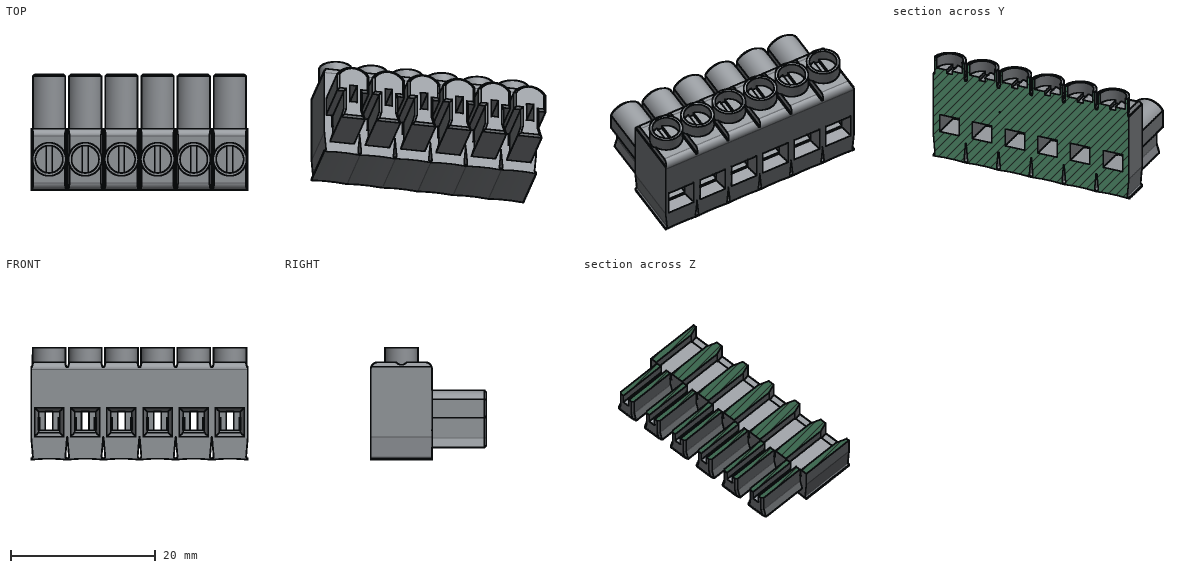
import cadquery as cq
import math

ways = 6
pitch = 5.0
length = ways * pitch
body_depth = 8.5
body_top = 13.5
total_height = 15.5
plug_length = 7.5
total_depth = body_depth + plug_length
overshoot = 1.0

top_edge_radius = 1.0
groove_depth = 0.67
groove_top_half = 0.33
groove_floor_half = 0.1
taper_top = 3.2
taper_inset = 0.24
lip_top = 0.21
lip_fillet = 0.23
foot_rise = 0.12

collar_diameter = 4.6
collar_bore = 3.8
collar_foot = body_top - 2 * groove_depth
screw_head_depth = 1.6
driver_slot_width = 0.8
driver_slot_depth = 0.5

entry_size = 4.0
entry_bottom = 3.2
entry_throat = 2.9
entry_depth = 1.55
cavity_bottom = 4.08
contact_slot_width = 1.0

sleeve_width = 4.5
sleeve_top = 9.63
sleeve_arc_start = 8.35
sleeve_step = 5.78
sleeve_neck = 3.04
sleeve_bottom = 1.66
neck_width = 2.6
tail_width = 3.4
sleeve_chamfer = 0.3

entry_middle = entry_bottom + entry_size / 2
throat_top = entry_middle + entry_throat / 2
way_centers = [(way + 0.5) * pitch for way in range(ways)]
way_boundaries = [way * pitch for way in range(ways + 1)]


def box_between(x_range, y_range, z_range):
    """Axis-aligned box given by its lower and upper limits."""
    (x0, x1), (y0, y1), (z0, z1) = x_range, y_range, z_range
    return cq.Workplane("XY").box(x1 - x0, y1 - y0, z1 - z0, centered=False).translate((x0, y0, z0))


def extrude_along_y(sketch, depth):
    """Solid from a closed XZ wire, running from its plane towards +Y."""
    return sketch.close().extrude(-depth)


def make_body():
    """Plain housing with both long top edges rounded."""
    block = box_between((0, length), (0, body_depth), (0, body_top))
    return block.edges("|X and >Z").fillet(top_edge_radius)


def top_groove(x):
    """Tapered groove in the top face, between neighbouring ways."""
    slope = (groove_top_half - groove_floor_half) / groove_depth
    mouth_half = groove_top_half + slope * overshoot
    sketch = (
        cq.Workplane("XZ")
        .moveTo(x - groove_floor_half, body_top - groove_depth)
        .lineTo(x + groove_floor_half, body_top - groove_depth)
        .lineTo(x + mouth_half, body_top + overshoot)
        .lineTo(x - mouth_half, body_top + overshoot)
    )
    return extrude_along_y(sketch, body_depth)


def side_slit(x):
    """Slit between ways, widening downwards and ending in a rounded floor above the foot lip."""
    fillet_end = taper_inset - lip_fillet
    bulge = lip_fillet * (1 - math.sqrt(0.5))
    corner_half = taper_inset - bulge
    corner_z = lip_top + bulge
    sketch = (
        cq.Workplane("XZ")
        .moveTo(x, taper_top)
        .lineTo(x + taper_inset, lip_top + lip_fillet)
        .threePointArc((x + corner_half, corner_z), (x + fillet_end, lip_top))
        .lineTo(x - fillet_end, lip_top)
        .threePointArc((x - corner_half, corner_z), (x - taper_inset, lip_top + lip_fillet))
    )
    return extrude_along_y(sketch, body_depth)


def foot_hollow(x):
    """Shallow arched hollow under one way."""
    sketch = (
        cq.Workplane("XZ")
        .moveTo(x - pitch / 2, 0)
        .threePointArc((x, foot_rise), (x + pitch / 2, 0))
    )
    return extrude_along_y(sketch, body_depth)


def plug_sleeve(x):
    """Sleeve with an arched top, stepped neck and flared tail."""
    half = sleeve_width / 2
    neck = neck_width / 2
    tail = tail_width / 2
    sketch = (
        cq.Workplane("XZ", origin=(0, body_depth, 0))
        .moveTo(x - half, sleeve_arc_start)
        .threePointArc((x, sleeve_top), (x + half, sleeve_arc_start))
        .lineTo(x + half, sleeve_step)
        .lineTo(x + neck, sleeve_step)
        .lineTo(x + neck, sleeve_neck)
        .lineTo(x + tail, sleeve_bottom)
        .lineTo(x - tail, sleeve_bottom)
        .lineTo(x - neck, sleeve_neck)
        .lineTo(x - neck, sleeve_step)
        .lineTo(x - half, sleeve_step)
    )
    return extrude_along_y(sketch, plug_length).faces(">Y").chamfer(sleeve_chamfer)


def screw_collar(x):
    """Round collar standing around the clamping screw."""
    base = cq.Workplane("XY", origin=(x, body_depth / 2, collar_foot))
    return base.circle(collar_diameter / 2).extrude(total_height - collar_foot)


def screw_recess(x):
    """Bore down to the screw head, with the driver slot across the head."""
    head_z = total_height - screw_head_depth
    head = cq.Workplane("XY", origin=(x, body_depth / 2, head_z))
    bore = head.circle(collar_bore / 2).extrude(screw_head_depth)
    slot_blank = head.rect(driver_slot_width, collar_bore).extrude(-driver_slot_depth)
    slot_limit = head.circle(collar_bore / 2).extrude(-driver_slot_depth)
    return bore.union(slot_blank.intersect(slot_limit))


def wire_entry(x):
    """Funnel, clamping cavity through the body and contact slot through the sleeve."""
    funnel = (
        cq.Workplane("XZ", origin=(x, 0, entry_middle))
        .rect(entry_size, entry_size)
        .workplane(offset=-entry_depth)
        .rect(entry_throat, entry_throat)
        .loft(ruled=True)
    )
    cavity = box_between(
        (x - entry_throat / 2, x + entry_throat / 2),
        (entry_depth, body_depth),
        (cavity_bottom, throat_top),
    )
    contact_slot = box_between(
        (x - contact_slot_width / 2, x + contact_slot_width / 2),
        (body_depth, total_depth),
        (cavity_bottom, throat_top),
    )
    return funnel.union(cavity).union(contact_slot)


result = make_body()
for boundary in way_boundaries:
    result = result.cut(top_groove(boundary)).cut(side_slit(boundary))
for center in way_centers:
    result = result.cut(foot_hollow(center))
    result = result.union(plug_sleeve(center)).union(screw_collar(center))
    result = result.cut(screw_recess(center)).cut(wire_entry(center))